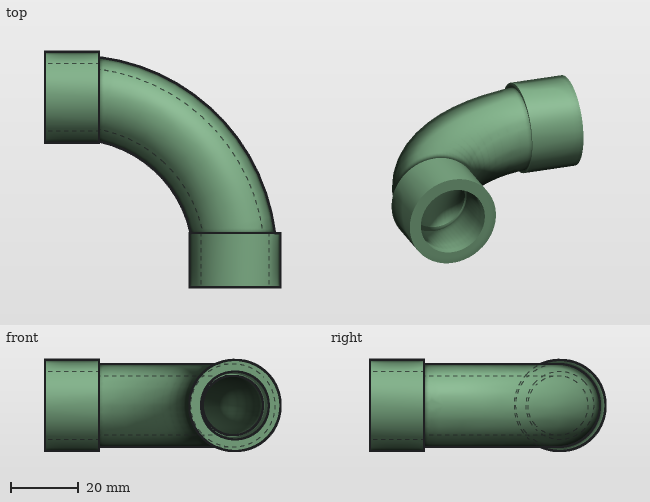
import cadquery as cq

overall_size = 69.55
socket_diameter = 27.0
socket_length = 16
socket_bore = 20.0
socket_bore_depth = 16
bend_start = 8.7
tube_diameter = 24.55
tube_bore = 17.5

axis_offset = overall_size - socket_diameter / 2
bend_radius = axis_offset - bend_start

mouth_planes = (
    cq.Plane(origin=(0, axis_offset, 0), xDir=(0, 1, 0), normal=(1, 0, 0)),
    cq.Plane(origin=(axis_offset, 0, 0), xDir=(1, 0, 0), normal=(0, 1, 0)),
)


def quarter_bend(diameter):
    """Solid quarter torus joining the two socket axes."""
    return (
        cq.Workplane("YZ", origin=(bend_start, axis_offset, 0))
        .circle(diameter / 2)
        .revolve(90, (-bend_radius, 0), (-bend_radius, -1))
    )


def socket_cylinders(diameter, length):
    """Cylinders running inward from both socket mouths."""
    first, second = [
        cq.Workplane(plane).circle(diameter / 2).extrude(length) for plane in mouth_planes
    ]
    return first.union(second)


outside = quarter_bend(tube_diameter).union(socket_cylinders(socket_diameter, socket_length))
passage = quarter_bend(tube_bore).union(socket_cylinders(socket_bore, socket_bore_depth))
result = outside.cut(passage)